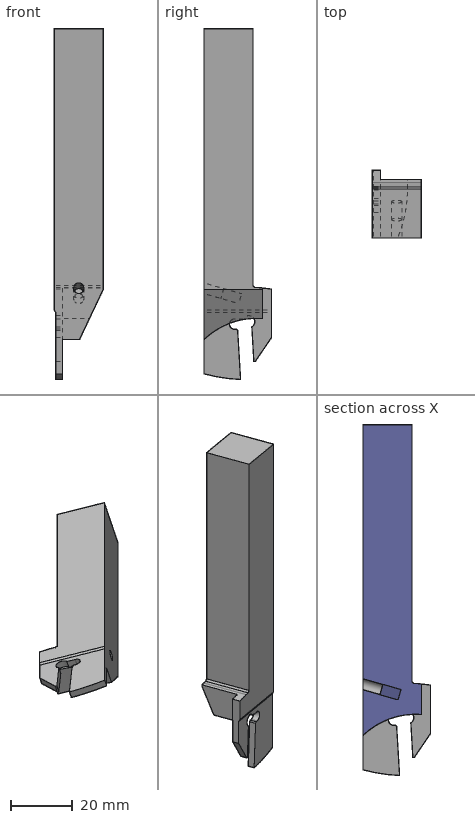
import cadquery as cq
import math


SHANK_SIDE = 15.88
TOTAL_HEIGHT = 113.3
HEAD_DEPTH = 21.88

LEDGE_Z = 29.75
LEDGE_BEVEL = 0.6
LEDGE_FLAT_END_Y = 17.85
LEDGE_SLOPE = math.radians(7)

SUPPORT_DEPTH = 18.95
SUPPORT_BOTTOM_Z = 12.9
TAPER_TOP_Z = 29.1
TAPER_BOTTOM_X = 8.2
CLEARANCE_RADIUS = 24.5
CLEARANCE_CENTRE_Y = 17.0

BLADE_OUTER_X = 2.7
BLADE_RELIEF = 0.45
RELIEF_BEVEL_HEIGHT = 0.8
RELIEF_TOP_Z = 22.45
FINGER_BEND_Z = 13.6
FINGER_TIP_Z = 5.8
FINGER_TIP_OUTER_Y = 16.6
FINGER_TIP_INNER_Y = 16.1
JAW_TIP_Y = 11.9
JAW_BACK_Z = 1.85
JAW_SAG = 0.35

FINGER_ROOT_Y = 15.45
FINGER_ROOT_Z = 16.95
JAW_TOP_Y = 10.95
SLOT_CORNER = 0.4
FINGER_HOLE_RADIUS = 1.95
FINGER_HOLE_Y = 14.45
FINGER_HOLE_Z = 18.7
KEY_HOLE_RADIUS = 1.67
KEY_HOLE_Y = 9.95
KEY_HOLE_Z = 17.95

SCREW_RADIUS = 1.65
SCREW_X = SHANK_SIDE / 2
SCREW_Z = 29.5
SCREW_TILT = math.radians(16)
SCREW_RECESS = 6.2
SCREW_LENGTH = 6.0


def head_top(outline, end_y):
    """Continue an outline from the shank face down over the ledge to the given Y."""
    end_z = LEDGE_Z - (end_y - LEDGE_FLAT_END_Y) * math.tan(LEDGE_SLOPE)
    return (
        outline.lineTo(SHANK_SIDE, LEDGE_Z + LEDGE_BEVEL)
        .lineTo(SHANK_SIDE + LEDGE_BEVEL, LEDGE_Z)
        .lineTo(LEDGE_FLAT_END_Y, LEDGE_Z)
        .lineTo(end_y, end_z)
    )


def make_support():
    """Shank and the full-width support, hollowed below by the workpiece clearance."""
    centre_z = SUPPORT_BOTTOM_Z - math.sqrt(CLEARANCE_RADIUS**2 - CLEARANCE_CENTRE_Y**2)
    outline = cq.Workplane("YZ").moveTo(0, TOTAL_HEIGHT).lineTo(SHANK_SIDE, TOTAL_HEIGHT)
    outline = head_top(outline, SUPPORT_DEPTH).lineTo(SUPPORT_DEPTH, 0).lineTo(0, 0).close()
    body = outline.extrude(SHANK_SIDE)

    clearance = cq.Workplane("YZ").center(CLEARANCE_CENTRE_Y, centre_z).circle(CLEARANCE_RADIUS)
    body = body.cut(clearance.extrude(SHANK_SIDE))

    taper = (
        cq.Workplane("XZ")
        .moveTo(SHANK_SIDE, TAPER_TOP_Z)
        .lineTo(TAPER_BOTTOM_X, SUPPORT_BOTTOM_Z)
        .lineTo(TAPER_BOTTOM_X, 0)
        .lineTo(SHANK_SIDE, 0)
        .close()
        .extrude(-HEAD_DEPTH)
    )
    return body.cut(taper)


def make_blade():
    """Thin blade with the finger and the jaw, before the slot is cut."""
    jaw_middle = (JAW_TIP_Y / 2, JAW_BACK_Z / 2 - JAW_SAG)
    outline = cq.Workplane("YZ").moveTo(0, TOTAL_HEIGHT).lineTo(SHANK_SIDE, TOTAL_HEIGHT)
    outline = (
        head_top(outline, HEAD_DEPTH)
        .lineTo(HEAD_DEPTH, FINGER_BEND_Z)
        .lineTo(FINGER_TIP_OUTER_Y, FINGER_TIP_Z)
        .lineTo(FINGER_TIP_INNER_Y, FINGER_TIP_Z)
        .lineTo(JAW_TIP_Y, 0)
        .threePointArc(jaw_middle, (0, JAW_BACK_Z))
        .close()
    )
    return outline.extrude(BLADE_OUTER_X)


def make_slot():
    """Insert slot through the blade, with the two rounded ends at its top."""
    key_bottom_z = KEY_HOLE_Z - KEY_HOLE_RADIUS
    throat = (
        cq.Workplane("YZ")
        .moveTo(JAW_TIP_Y, 0)
        .lineTo(JAW_TOP_Y, key_bottom_z - SLOT_CORNER)
        .lineTo(JAW_TOP_Y - SLOT_CORNER, key_bottom_z)
        .lineTo(KEY_HOLE_Y, key_bottom_z)
        .lineTo(KEY_HOLE_Y, KEY_HOLE_Z + KEY_HOLE_RADIUS)
        .lineTo(FINGER_HOLE_Y, KEY_HOLE_Z + KEY_HOLE_RADIUS)
        .lineTo(FINGER_ROOT_Y, FINGER_ROOT_Z)
        .lineTo(FINGER_TIP_INNER_Y, FINGER_TIP_Z)
        .lineTo(FINGER_TIP_INNER_Y, 0)
        .close()
        .extrude(BLADE_OUTER_X)
    )
    finger_hole = cq.Workplane("YZ").center(FINGER_HOLE_Y, FINGER_HOLE_Z).circle(FINGER_HOLE_RADIUS)
    key_hole = cq.Workplane("YZ").center(KEY_HOLE_Y, KEY_HOLE_Z).circle(KEY_HOLE_RADIUS)
    return throat.union(finger_hole.extrude(BLADE_OUTER_X)).union(key_hole.extrude(BLADE_OUTER_X))


def make_relief():
    """Layer removed from the outer side of the blade, ending in a sloping bevel."""
    return (
        cq.Workplane("XZ")
        .moveTo(0, 0)
        .lineTo(0, RELIEF_TOP_Z)
        .lineTo(BLADE_RELIEF, RELIEF_TOP_Z - RELIEF_BEVEL_HEIGHT)
        .lineTo(BLADE_RELIEF, 0)
        .close()
        .extrude(-HEAD_DEPTH)
    )


def screw_cylinder(start, end):
    """Cylinder on the screw axis between two distances from the back face."""
    axis = cq.Vector(0, math.cos(SCREW_TILT), -math.sin(SCREW_TILT))
    base = cq.Vector(SCREW_X, 0, SCREW_Z) + axis * start
    return cq.Workplane(cq.Solid.makeCylinder(SCREW_RADIUS, end - start, base, axis))


def make_holder():
    holder = make_support().union(make_blade())
    holder = holder.cut(make_slot()).cut(make_relief())
    return holder.cut(screw_cylinder(-SCREW_RADIUS, SCREW_RECESS + SCREW_LENGTH))


def make_screw():
    return screw_cylinder(SCREW_RECESS, SCREW_RECESS + SCREW_LENGTH)


holder = make_holder()
screw = make_screw()

result = cq.Compound.makeCompound([holder.val(), screw.val()])